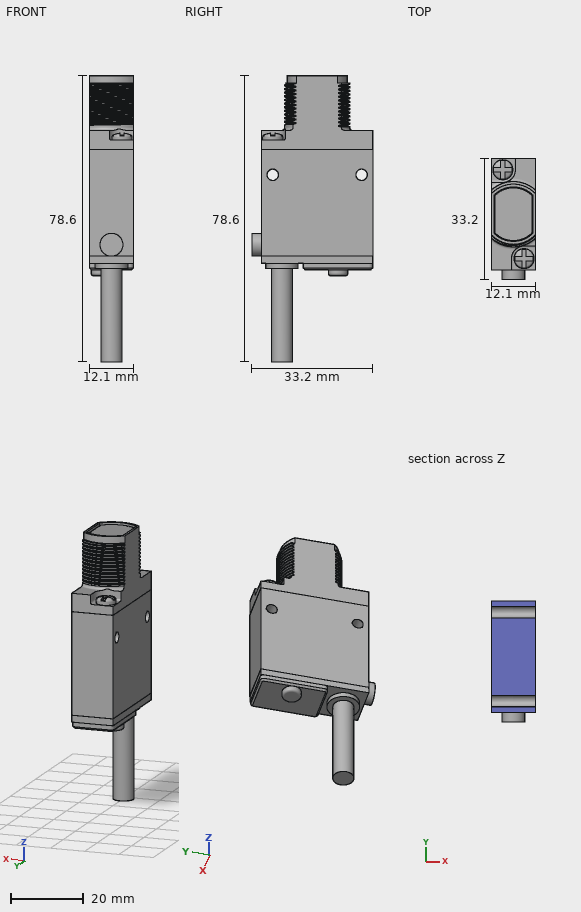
import cadquery as cq

width = 12.1
case_length = 30.65
case_height = 29.3
mount_hole_diameter = 3.1
mount_hole_y = 12.2
mount_hole_z = 22.3

rear_setback = 0.1
cover_length = case_length - rear_setback
base_thickness = 2.0

shoulder_z = 34.5
head_top_z = 49.5
collar_height = 2.0
collar_radius = 8.25
root_fillet = 0.75

thread_radius = 8.95
thread_depth = 0.55
thread_pitch = 1.0
groove_width = 0.7
groove_root_width = 0.2
groove_overshoot = 0.1
thread_start_z = shoulder_z + root_fillet + groove_width / 2
thread_end_z = head_top_z - collar_height

window_width = 10.7
window_radius = 7.5
window_depth = 0.55
lens_gap = 0.2
lens_gap_depth = 0.3
lens_thickness = 0.8

screw_x = 2.9
screw_y = mount_hole_y
screw_radius = 2.75
screw_height = 2.0
screw_dome_radius = 5.9
screw_edge_fillet = 0.7
screw_slot_width = 1.2
screw_slot_length = 5.0
screw_slot_floor = 1.1
clamp_screw_radius = 2.7
clamp_screw_height = 1.65
clamp_screw_y = 5.7

pocket_radius = 3.45
pocket_floor_z = 31.8
pocket_floor_fillet = 0.55

plate_length = 19.1
plate_thickness = 1.8
plate_corner_radius = 1.0
plate_chamfer = 0.55

cable_y = -9.7
cable_radius = 2.9
cable_end_z = -29.1
cable_collar_radius = 4.5
cable_collar_height = 1.4

button_radius = 3.15
button_height = 2.6
button_z = 3.15

case_front_y = -case_length / 2
cover_rear_y = case_front_y + cover_length
cover_center_y = (case_front_y + cover_rear_y) / 2
base_bottom_z = -base_thickness
plate_bottom_z = base_bottom_z - plate_thickness


def block(length_x, length_y, center_y, bottom_z, top_z):
    """A box centred on X = 0 that spans the given heights."""
    return (
        cq.Workplane("XY")
        .workplane(offset=bottom_z)
        .center(0, center_y)
        .rect(length_x, length_y)
        .extrude(top_z - bottom_z)
    )


def cylinder(radius, bottom_z, top_z, center=(0, 0)):
    """An upright cylinder that spans the given heights."""
    return cq.Workplane("XY").workplane(offset=bottom_z).center(*center).circle(radius).extrude(top_z - bottom_z)


def double_flat(radius, flat_width):
    """A circle centred on the Z axis and cut by two flats that face -X and +X."""
    half_width = flat_width / 2
    half_flat = (radius**2 - half_width**2) ** 0.5
    return (
        cq.Sketch()
        .segment((half_width, -half_flat), (half_width, half_flat))
        .arc((half_width, half_flat), (0, radius), (-half_width, half_flat))
        .segment((-half_width, -half_flat))
        .arc((-half_width, -half_flat), (0, -radius), (half_width, -half_flat))
        .assemble()
    )


def make_case():
    case = block(width, case_length, 0, 0, case_height)
    holes = (
        cq.Workplane("YZ")
        .pushPoints([(-mount_hole_y, mount_hole_z), (mount_hole_y, mount_hole_z)])
        .circle(mount_hole_diameter / 2)
        .extrude(width / 2, both=True)
    )
    return case.cut(holes)


def thread_groove():
    """A trapezoidal groove that winds up the barrel; it opens slightly outside the crest."""
    root_radius = thread_radius - thread_depth
    flank_run = (groove_width - groove_root_width) / 2
    outer_radius = thread_radius + groove_overshoot
    half_root = groove_root_width / 2
    half_opening = half_root + flank_run * (thread_depth + groove_overshoot) / thread_depth
    helix = cq.Wire.makeHelix(
        thread_pitch,
        thread_end_z - thread_start_z,
        root_radius,
        cq.Vector(0, 0, thread_start_z),
    )
    return (
        cq.Workplane("XZ")
        .moveTo(root_radius, thread_start_z - half_root)
        .lineTo(root_radius, thread_start_z + half_root)
        .lineTo(outer_radius, thread_start_z + half_opening)
        .lineTo(outer_radius, thread_start_z - half_opening)
        .close()
        .sweep(cq.Workplane(obj=helix), isFrenet=True)
    )


def make_barrel():
    """The threaded barrel with its concave root and plain upper collar."""
    profile = (
        cq.Workplane("XZ")
        .moveTo(0, case_height)
        .lineTo(thread_radius + root_fillet, case_height)
        .lineTo(thread_radius + root_fillet, shoulder_z)
        .radiusArc((thread_radius, shoulder_z + root_fillet), root_fillet)
        .lineTo(thread_radius, thread_end_z)
        .lineTo(collar_radius, thread_end_z)
        .lineTo(collar_radius, head_top_z)
        .lineTo(0, head_top_z)
        .close()
    )
    barrel = profile.revolve(360, (0, 0, 0), (0, 1, 0))
    return barrel.cut(thread_groove())


def screw_pocket():
    """The pocket in the rear -X corner, rounded about the screw and along its floor."""
    inner_x = -screw_x + pocket_radius
    outer_x = -screw_x - 2 * pocket_radius
    inner_y = screw_y - pocket_radius
    outer_y = screw_y + 2 * pocket_radius
    return (
        cq.Workplane("XY")
        .workplane(offset=pocket_floor_z)
        .moveTo(outer_x, inner_y)
        .lineTo(-screw_x, inner_y)
        .radiusArc((inner_x, screw_y), -pocket_radius)
        .lineTo(inner_x, outer_y)
        .lineTo(outer_x, outer_y)
        .close()
        .extrude(head_top_z - pocket_floor_z)
        .faces("<Z")
        .edges()
        .fillet(pocket_floor_fillet)
    )


def make_head():
    head = block(width, cover_length, cover_center_y, case_height, shoulder_z)
    pocket = screw_pocket()
    opposite_pocket = pocket.rotate((0, 0, 0), (0, 0, 1), 180)
    pockets = pocket.union(opposite_pocket).cut(cylinder(thread_radius, pocket_floor_z, head_top_z))
    envelope = block(width, cover_length, cover_center_y, case_height, head_top_z)
    head = head.union(make_barrel()).cut(pockets).intersect(envelope)
    window = (
        cq.Workplane("XY")
        .workplane(offset=head_top_z)
        .placeSketch(double_flat(window_radius, window_width))
        .extrude(-window_depth - lens_thickness)
    )
    return head.cut(window)


def make_lens():
    """A plate that fills the recess at its foot and stands clear of the wall above."""
    bottom_z = head_top_z - window_depth - lens_thickness
    foot = (
        cq.Workplane("XY")
        .workplane(offset=bottom_z)
        .placeSketch(double_flat(window_radius, window_width))
        .extrude(lens_thickness - lens_gap_depth)
    )
    face = (
        cq.Workplane("XY")
        .workplane(offset=bottom_z)
        .placeSketch(double_flat(window_radius - lens_gap, window_width - 2 * lens_gap))
        .extrude(lens_thickness)
    )
    return foot.union(face)


def make_base():
    return block(width, cover_length, cover_center_y, base_bottom_z, 0)


def make_plate():
    return (
        block(width, plate_length, cover_rear_y - plate_length / 2, plate_bottom_z, base_bottom_z)
        .edges("|Z")
        .fillet(plate_corner_radius)
        .faces("<Z")
        .chamfer(plate_chamfer)
    )


def make_head_screw():
    """A domed, cross-slotted screw head that stands on Z = 0."""
    dome = cq.Workplane("XY").sphere(screw_dome_radius).translate((0, 0, screw_height - screw_dome_radius))
    head = cylinder(screw_radius, 0, screw_height).intersect(dome).faces(">Z").edges().fillet(screw_edge_fillet)
    slot = block(screw_slot_width, screw_slot_length, 0, screw_slot_floor, screw_height)
    return head.cut(slot).cut(slot.rotate((0, 0, 0), (0, 0, 1), 90))


def make_head_screws():
    screws = cq.Workplane("XY")
    for side in (-1, 1):
        place = (side * screw_x, -side * screw_y, pocket_floor_z)
        screws = screws.add(make_head_screw().translate(place))
    return screws


def make_clamp_screw():
    """A plain round-edged screw head under the plate."""
    center = (-screw_x, clamp_screw_y)
    bottom_z = plate_bottom_z - clamp_screw_height
    return cylinder(clamp_screw_radius, bottom_z, plate_bottom_z, center).faces("<Z").edges().fillet(screw_edge_fillet)


def make_cable():
    center = (0, cable_y)
    collar = cylinder(cable_collar_radius, base_bottom_z - cable_collar_height, base_bottom_z, center)
    return collar.union(cylinder(cable_radius, cable_end_z, base_bottom_z, center))


def make_button():
    return (
        cq.Workplane("XZ", origin=(0, case_front_y, button_z))
        .circle(button_radius)
        .extrude(button_height)
    )


case = make_case()
head = make_head()
lens = make_lens()
base = make_base()
plate = make_plate()
head_screws = make_head_screws()
clamp_screw = make_clamp_screw()
cable = make_cable()
button = make_button()

result = cq.Compound.makeCompound(
    [
        case.val(),
        head.val(),
        lens.val(),
        base.val(),
        plate.val(),
        *head_screws.vals(),
        clamp_screw.val(),
        cable.val(),
        button.val(),
    ]
)